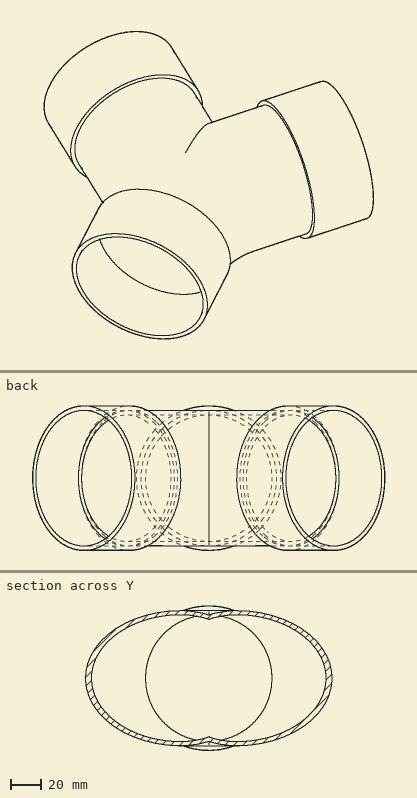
import cadquery as cq
import math

overall_width = 233.7
socket_outer = 96.0
pipe_outer = 90.0
pipe_bore = 84.0
socket_bore = pipe_outer
socket_length = 43.0
socket_depth = 40.0
bend_radius = 90.0
arm_angle = 45.0

angle = math.radians(arm_angle)
bend_end_x = bend_radius * (1 - math.cos(angle))
bend_end_y = socket_length + bend_radius * math.sin(angle)

arm_reach = (overall_width / 2 - bend_end_x - socket_outer / 2 * math.cos(angle)) / math.sin(angle)
neck_length = arm_reach - socket_length

base_plane = cq.Plane(origin=(0, 0, 0), xDir=(1, 0, 0), normal=(0, 1, 0))
bend_start = cq.Plane(origin=(0, socket_length, 0), xDir=(1, 0, 0), normal=(0, 1, 0))
arm_plane = cq.Plane(
    origin=(bend_end_x, bend_end_y, 0),
    xDir=(0, 0, 1),
    normal=(math.sin(angle), math.cos(angle), 0),
)
arm_socket_plane = cq.Plane(
    origin=arm_plane.toWorldCoords((0, 0, neck_length)),
    xDir=arm_plane.xDir,
    normal=arm_plane.zDir,
)
arm_shoulder_plane = cq.Plane(
    origin=arm_plane.toWorldCoords((0, 0, arm_reach - socket_depth)),
    xDir=arm_plane.xDir,
    normal=arm_plane.zDir,
)


def cylinder(plane, diameter, length):
    return cq.Workplane(plane).circle(diameter / 2).extrude(length)


def bend(diameter):
    """Curved pipe turning from the base axis to the right arm axis."""
    return (
        cq.Workplane(bend_start)
        .circle(diameter / 2)
        .revolve(arm_angle, (bend_radius, 0, 0), (bend_radius, 1, 0))
    )


def with_mirror(body):
    return body.union(body.mirror("YZ"))


def right_half(body):
    """Keep only the side of the middle plane that holds the right arm."""
    size = 2 * overall_width
    return body.intersect(cq.Workplane("XY").box(size, size, size, centered=(False, True, True)))


def arm_outside():
    pipe = bend(pipe_outer).union(cylinder(arm_plane, pipe_outer, neck_length))
    return right_half(pipe.union(cylinder(arm_socket_plane, socket_outer, socket_length)))


def arm_cavity():
    bore = bend(pipe_bore).union(cylinder(arm_plane, pipe_bore, arm_reach))
    return right_half(bore.union(cylinder(arm_shoulder_plane, socket_bore, socket_depth)))


outside = with_mirror(arm_outside()).union(cylinder(base_plane, socket_outer, socket_length))
base_cavity = cylinder(base_plane, socket_bore, socket_depth)
result = outside.cut(with_mirror(arm_cavity())).cut(base_cavity)